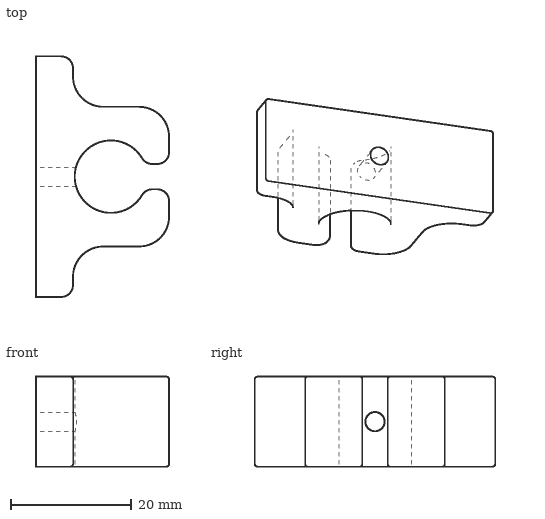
import cadquery as cq
import math

depth = 22.15
length = 40.0
thickness = 15.0

plate_depth = 6.2
plate_corner_radius = 2.0
screw_hole_diameter = 3.15

arms_width = 23.25
root_radius = 5.0
shoulder_radius = 5.0
tip_radius = 2.0
mouth_width = 4.15

bore_radius = 6.0
bore_x = 12.5

edge_radius = 0.5

half_length = length / 2
half_arms = arms_width / 2
half_mouth = mouth_width / 2

tip_y = half_mouth + tip_radius
inner_tip_angle = math.asin(tip_y / (bore_radius + tip_radius))
inner_tip_x = bore_x + (bore_radius + tip_radius) * math.cos(inner_tip_angle)
bore_end = (
    bore_x + bore_radius * math.cos(inner_tip_angle),
    bore_radius * math.sin(inner_tip_angle),
)
outer_tip_x = depth - tip_radius


def mirrored(point):
    """Reflect a point onto the other arm."""
    return (point[0], -point[1])


def arc_point(center, radius, degrees):
    """Point on a circle at the given angle from +X."""
    angle = math.radians(degrees)
    return (center[0] + radius * math.cos(angle), center[1] + radius * math.sin(angle))


def clip_profile():
    """Closed outline of the plate and both arms, symmetric about the X axis."""
    corner_center = (plate_depth - plate_corner_radius, half_length - plate_corner_radius)
    root_center = (plate_depth + root_radius, half_arms + root_radius)
    shoulder_center = (depth - shoulder_radius, half_arms - shoulder_radius)
    outer_tip_center = (outer_tip_x, tip_y)
    inner_tip_center = (inner_tip_x, tip_y)
    inner_tip_middle = (180 + math.degrees(inner_tip_angle) + 270) / 2

    steps = [
        (None, (corner_center[0], half_length)),
        (arc_point(corner_center, plate_corner_radius, 45), (plate_depth, corner_center[1])),
        (None, (plate_depth, root_center[1])),
        (arc_point(root_center, root_radius, 225), (root_center[0], half_arms)),
        (None, (shoulder_center[0], half_arms)),
        (arc_point(shoulder_center, shoulder_radius, 45), (depth, shoulder_center[1])),
        (None, (depth, tip_y)),
        (arc_point(outer_tip_center, tip_radius, -45), (outer_tip_x, half_mouth)),
        (None, (inner_tip_x, half_mouth)),
        (arc_point(inner_tip_center, tip_radius, inner_tip_middle), bore_end),
    ]
    start = (0, half_length)
    outline = cq.Workplane("XY").workplane(offset=-thickness / 2).moveTo(*start)
    for middle, end in steps:
        outline = outline.threePointArc(middle, end) if middle else outline.lineTo(*end)

    bore_back = (bore_x - bore_radius, 0)
    outline = outline.threePointArc(bore_back, mirrored(bore_end))

    starts = [start] + [end for _, end in steps[:-1]]
    for (middle, _), end in zip(reversed(steps), reversed(starts)):
        if middle:
            outline = outline.threePointArc(mirrored(middle), mirrored(end))
        else:
            outline = outline.lineTo(*mirrored(end))
    return outline.close()


def screw_hole():
    """Hole from the mounting face through the plate into the bore."""
    return cq.Workplane("YZ").circle(screw_hole_diameter / 2).extrude(bore_x)


body = clip_profile().extrude(thickness)

rim_edges = body.faces("|Z").edges().objects
rim_edges = [edge for edge in rim_edges if edge.Center().x > edge_radius / 2]
body = body.newObject(rim_edges).fillet(edge_radius)

result = body.cut(screw_hole())